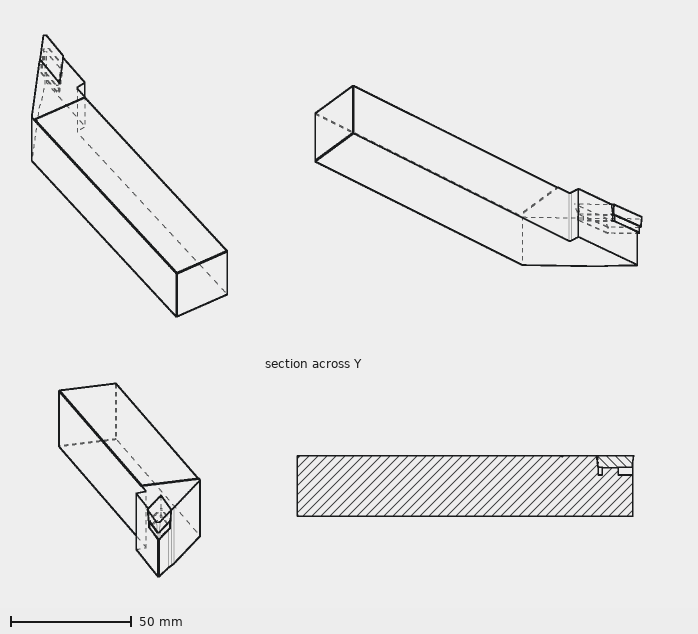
import cadquery as cq
import math

LENGTH = 150.0
SHANK = 25.0
SHANK_START_X = 40.4
EDGE_BREAK = 0.3
HEAD_FILLET = 0.8
HEAD_END_X = 33.8
HEAD_SHOULDER_X = 33.0
HEAD_SHOULDER_Y = 29.7
HEAD_BACK_X = 38.5
HEAD_TIP_X = 2.0
HEAD_TIP_TOP_Y = 30.5
HEAD_TIP_LOW_Y = 29.8

BEND_START_X = 9.6
BEND_END_X = 13.4
RELIEF_STEP = 0.6

TIP_Y = 31.5
INSERT_WIDTH = 9.5
TIP_ANGLE = 35.0
LEAD_ANGLE = 3.0
NOSE_RADIUS = 0.8
INSERT_HEIGHT = 4.8
FLANK_ANGLE = 5.0

SEAT_HEIGHT = 3.2
SEAT_SIDE = 14.0
SEAT_TIP_X = 0.9
SEAT_TIP_Y = 30.8
SEAT_NOSE_RADIUS = 0.5

POCKET_OVERRUN = 3.0

INSERT_SIDE = INSERT_WIDTH / math.sin(math.radians(TIP_ANGLE))
INSERT_BOTTOM_Z = SHANK - INSERT_HEIGHT
SEAT_BOTTOM_Z = INSERT_BOTTOM_Z - SEAT_HEIGHT
FLANK_INSET = INSERT_HEIGHT * math.tan(math.radians(FLANK_ANGLE))
SLANT_ANGLE = LEAD_ANGLE + TIP_ANGLE
HALF_TIP_SINE = math.sin(math.radians(TIP_ANGLE / 2))


def along(point, angle, distance):
    """Move a point by a distance in a direction turned clockwise from +X."""
    turn = math.radians(angle)
    return (point[0] + distance * math.cos(turn), point[1] - distance * math.sin(turn))


BISECTOR_ANGLE = LEAD_ANGLE + TIP_ANGLE / 2


def sharp_tip(nose_left_x, nose_top_y, radius):
    """Corner where the two edges tangent to a nose arc would meet."""
    center = (nose_left_x + radius, nose_top_y - radius)
    return along(center, BISECTOR_ANGLE, -radius / HALF_TIP_SINE)


INSERT_TIP = sharp_tip(0, TIP_Y, NOSE_RADIUS)
SEAT_TIP = sharp_tip(SEAT_TIP_X, SEAT_TIP_Y, SEAT_NOSE_RADIUS)


def rhombus(tip, side, top_z):
    """Sharp-cornered rhombus outline at height top_z."""
    upper = along(tip, LEAD_ANGLE, side)
    lower = along(tip, SLANT_ANGLE, side)
    far = along(upper, SLANT_ANGLE, side)
    return cq.Workplane("XY").workplane(offset=top_z).polyline([tip, upper, far, lower]).close()


def rounded_rhombus(tip, side, radius, top_z):
    """Rhombus outline whose two acute corners are rounded."""
    upper = along(tip, LEAD_ANGLE, side)
    lower = along(tip, SLANT_ANGLE, side)
    far = along(upper, SLANT_ANGLE, side)
    tangent = radius / math.tan(math.radians(TIP_ANGLE / 2))
    corner_gap = radius / HALF_TIP_SINE - radius
    return (
        cq.Workplane("XY").workplane(offset=top_z)
        .moveTo(*along(tip, LEAD_ANGLE, tangent))
        .lineTo(*upper)
        .lineTo(*along(far, SLANT_ANGLE, -tangent))
        .threePointArc(along(far, BISECTOR_ANGLE, -corner_gap), along(far, LEAD_ANGLE, -tangent))
        .lineTo(*lower)
        .lineTo(*along(tip, SLANT_ANGLE, tangent))
        .threePointArc(along(tip, BISECTOR_ANGLE, corner_gap), along(tip, LEAD_ANGLE, tangent))
        .close()
    )


def make_insert():
    outline = rounded_rhombus(INSERT_TIP, INSERT_SIDE, NOSE_RADIUS, SHANK)
    return outline.extrude(-INSERT_HEIGHT, taper=FLANK_ANGLE)


def make_seat():
    outline = rounded_rhombus(SEAT_TIP, SEAT_SIDE, SEAT_NOSE_RADIUS, INSERT_BOTTOM_Z)
    return outline.extrude(-SEAT_HEIGHT)


def make_pocket():
    """Space for insert and seat: tapered above, straight below, open past the free sides."""
    tip = along(along(INSERT_TIP, LEAD_ANGLE, -POCKET_OVERRUN), SLANT_ANGLE, -POCKET_OVERRUN)
    side = INSERT_SIDE + POCKET_OVERRUN
    inset_tip = along(tip, BISECTOR_ANGLE, FLANK_INSET / HALF_TIP_SINE)
    inset_side = side - 2 * FLANK_INSET / math.sin(math.radians(TIP_ANGLE))
    tapered = rhombus(tip, side, SHANK).extrude(-INSERT_HEIGHT, taper=FLANK_ANGLE)
    straight = rhombus(inset_tip, inset_side, INSERT_BOTTOM_Z).extrude(-SEAT_HEIGHT)
    return tapered.union(straight)


def make_head():
    """Slanted head, up to the start of the shank."""
    slope = math.tan(math.radians(SLANT_ANGLE))
    bend_end = (BEND_END_X, (HEAD_BACK_X - BEND_END_X) * slope)
    relief_rise = RELIEF_STEP / math.cos(math.radians(SLANT_ANGLE))
    bend_start = (BEND_START_X, (HEAD_BACK_X - BEND_START_X) * slope + relief_rise)
    bend_middle = ((bend_start[0] + bend_end[0]) / 2, (bend_start[1] + bend_end[1]) / 2)
    return (
        cq.Workplane("XY")
        .moveTo(HEAD_TIP_X, HEAD_TIP_TOP_Y)
        .lineTo(HEAD_SHOULDER_X, HEAD_SHOULDER_Y)
        .lineTo(HEAD_END_X, SHANK)
        .lineTo(SHANK_START_X, SHANK)
        .lineTo(SHANK_START_X, 0)
        .lineTo(HEAD_BACK_X, 0)
        .lineTo(*bend_end)
        .tangentArcPoint(bend_middle, relative=False)
        .tangentArcPoint(bend_start, relative=False)
        .lineTo(HEAD_TIP_X, HEAD_TIP_LOW_Y)
        .close()
        .extrude(SHANK)
        .edges(cq.selectors.NearestToPointSelector((HEAD_END_X, SHANK, SHANK / 2)))
        .fillet(HEAD_FILLET)
    )


def make_shank():
    return (
        cq.Workplane("XY")
        .box(LENGTH - SHANK_START_X, SHANK, SHANK, centered=False)
        .translate((SHANK_START_X, 0, 0))
        .faces(">Z or >X").edges().chamfer(EDGE_BREAK)
    )


def make_holder():
    return make_head().union(make_shank()).cut(make_pocket()).union(make_seat())


insert = make_insert()
holder = make_holder()
result = cq.Compound.makeCompound([holder.val(), insert.val()])